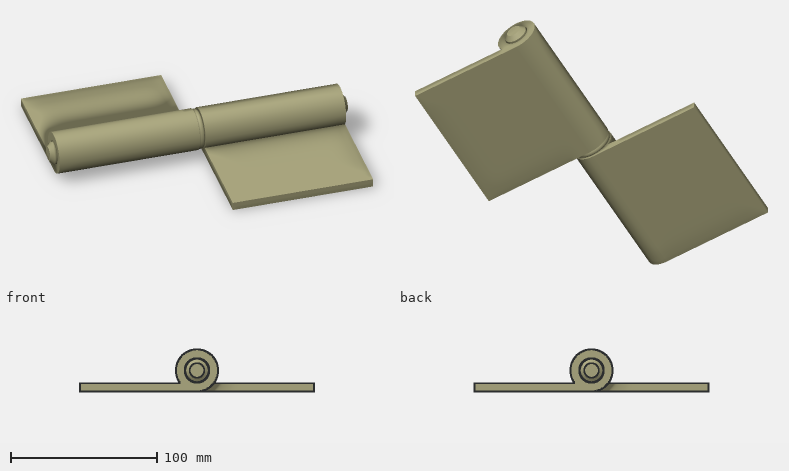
import cadquery as cq

total_length = 212.0
total_width = 160.0
knuckle_diameter = 29.0
leaf_thickness = 6.0

bore_diameter = 17.0
pin_diameter = 16.0
pin_overhang = 4.0
tip_chamfer = 3.0
collar_diameter = 28.0
collar_length = 4.0

knuckle_radius = knuckle_diameter / 2
axis_height = knuckle_radius
leaf_reach = total_width / 2
knuckle_length = (total_length - 2 * pin_overhang - collar_length) / 2
knuckle_start = collar_length / 2


def cylinder_along_y(diameter, start, length):
    """Cylinder on the hinge axis, from Y = start towards +Y."""
    base = cq.Vector(0, start, axis_height)
    return cq.Workplane(cq.Solid.makeCylinder(diameter / 2, length, base, cq.Vector(0, 1, 0)))


def make_leaf():
    """Flat plate on +X, tangent to the bottom of its bored knuckle, on the +Y half."""
    plate = cq.Workplane("XY").box(leaf_reach, knuckle_length, leaf_thickness, centered=False)
    plate = plate.translate((0, knuckle_start, 0))
    knuckle = cylinder_along_y(knuckle_diameter, knuckle_start, knuckle_length)
    bore = cylinder_along_y(bore_diameter, knuckle_start, knuckle_length)
    return knuckle.union(plate).cut(bore)


def make_pin():
    """Pin with tapered tips and a central collar that spaces the two knuckles."""
    half_length = total_length / 2
    radius = pin_diameter / 2
    collar_radius = collar_diameter / 2
    collar_edge_radius = collar_radius - collar_length / 2
    tip_radius = radius - tip_chamfer
    taper_start = half_length - tip_chamfer

    section = (
        cq.Workplane("XY")
        .moveTo(0, -half_length)
        .lineTo(tip_radius, -half_length)
        .lineTo(radius, -taper_start)
        .lineTo(radius, -knuckle_start)
        .lineTo(collar_edge_radius, -knuckle_start)
        .threePointArc((collar_radius, 0), (collar_edge_radius, knuckle_start))
        .lineTo(radius, knuckle_start)
        .lineTo(radius, taper_start)
        .lineTo(tip_radius, half_length)
        .lineTo(0, half_length)
        .close()
    )
    return section.revolve(360, (0, 0), (0, 1)).translate((0, 0, axis_height))


half_turns = (0, 180)
leaves = [make_leaf().rotate((0, 0, 0), (0, 0, 1), angle) for angle in half_turns]
pin = make_pin()

result = cq.Compound.makeCompound([*[leaf.val() for leaf in leaves], pin.val()])